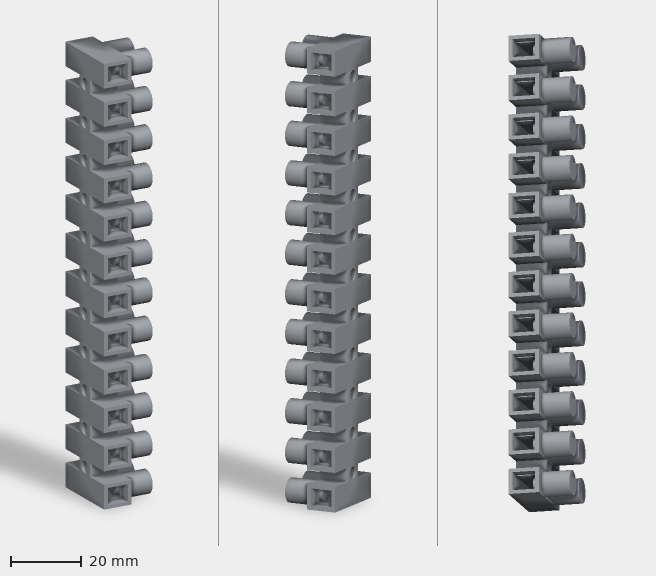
import cadquery as cq

block_count = 12
strip_length = 133.8
block_width = 22.2
block_depth = 9.0
block_height = 7.4
pitch = (strip_length - block_height) / (block_count - 1)

web_width = 5.9
mounting_hole_diameter = 3.6

total_depth = 17.3
tower_diameter = 7.2
tower_spacing = 10.0

passage_front = 1.2
mouth_depth = block_depth - 2 * passage_front
mouth_height = 5.2
mouth_length = 3.7
side_step = 0.3
back_step = 0.4
passage_depth = mouth_depth - back_step
passage_height = mouth_height - 2 * side_step

screw_diameter = 4.3
screw_reach = 1.2

passage_back = passage_front + passage_depth
mouth_offset = (block_width - mouth_length) / 2
mouth_positions = (-mouth_offset, mouth_offset)
tower_positions = (-tower_spacing / 2, tower_spacing / 2)
block_centers = [block_height / 2 + i * pitch for i in range(block_count)]


def box(width, depth, height, front, z, x=0):
    """Box centred on x and z, with its -Y face at front."""
    return cq.Workplane("XY").box(width, depth, height).translate((x, front + depth / 2, z))


def rod(diameter, front, back, x, z):
    """Round rod along Y between two Y positions."""
    profile = cq.Workplane("XZ", origin=(x, front, z)).circle(diameter / 2)
    return profile.extrude(front - back)


def terminal_block(z):
    """One block with its wire passage, screw towers and screw tips."""
    block = box(block_width, block_depth, block_height, 0, z)
    block = block.cut(box(block_width, passage_depth, passage_height, passage_front, z))
    for x in mouth_positions:
        block = block.cut(box(mouth_length, mouth_depth, mouth_height, passage_front, z, x))
    for x in tower_positions:
        block = block.union(rod(tower_diameter, block_depth, total_depth, x, z))
        block = block.union(rod(screw_diameter, passage_back - screw_reach, block_depth, x, z))
    return block


def web(z):
    """Web segment filling the gap centred on z, pierced by its mounting hole."""
    segment = box(web_width, block_depth, pitch - block_height, 0, z)
    return segment.cut(rod(mounting_hole_diameter, 0, block_depth, 0, z))


result = terminal_block(block_centers[0])
for lower, upper in zip(block_centers, block_centers[1:]):
    result = result.union(web((lower + upper) / 2)).union(terminal_block(upper))